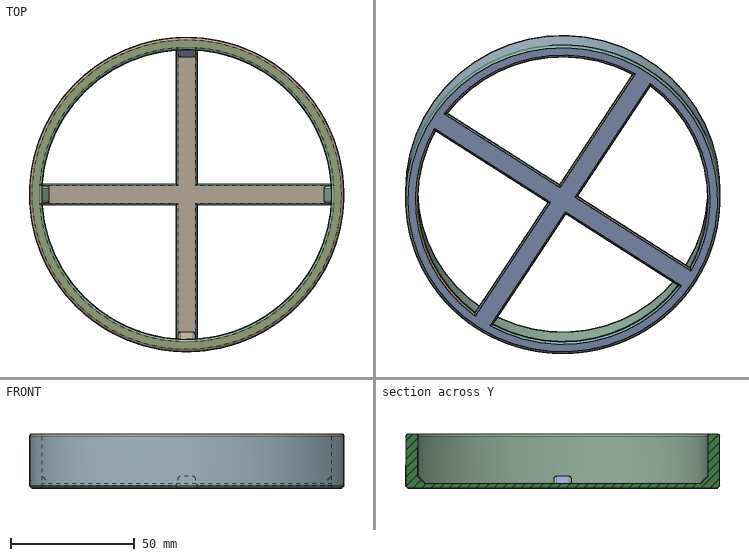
import cadquery as cq

outer_diameter = 127.0
inner_diameter = 117.0
ring_height = 22.0
ring_top_radius = 1.0
ring_bottom_chamfer = 1.0

spoke_width = 8.6
spoke_thickness = 2.0
spoke_top_radius = 0.7
spoke_bottom_chamfer = 0.7

blend_radius = 0.5

gusset_width = 7.0
gusset_run = 3.0
gusset_rise = 3.0
gusset_edge_radius = 1.0

inner_radius = inner_diameter / 2
wall = (outer_diameter - inner_diameter) / 2
embed_radius = inner_radius + wall / 2


def edges_at_height(body, height):
    """Select the horizontal edges lying at the given height."""
    tolerance = 0.01
    reach = outer_diameter
    thin_slab = cq.selectors.BoxSelector(
        (-reach, -reach, height - tolerance),
        (reach, reach, height + tolerance),
        boundingbox=True,
    )
    return body.edges(thin_slab)


def dress_edges(body, top_radius, bottom_chamfer):
    """Round the top edges, chamfer the bottom edges and blend the chamfers into the walls."""
    rounded = body.faces(">Z").edges().fillet(top_radius)
    chamfered = rounded.faces("<Z").edges().chamfer(bottom_chamfer)
    return edges_at_height(chamfered, bottom_chamfer).fillet(blend_radius)


def make_ring():
    """Plain ring with dressed rims."""
    ring = cq.Workplane("XY").circle(outer_diameter / 2).circle(inner_radius).extrude(ring_height)
    return dress_edges(ring, ring_top_radius, ring_bottom_chamfer)


def make_cross():
    """Two crossing bars with dressed edges."""
    length = 2 * embed_radius
    on_floor = (True, True, False)
    bar_x = cq.Workplane("XY").box(length, spoke_width, spoke_thickness, centered=on_floor)
    bar_y = cq.Workplane("XY").box(spoke_width, length, spoke_thickness, centered=on_floor)
    return dress_edges(bar_x.union(bar_y), spoke_top_radius, spoke_bottom_chamfer)


def make_gusset():
    """Wedge on the +X spoke, rising toward the wall, with rounded slope edges."""
    slope = gusset_rise / gusset_run
    toe = inner_radius - gusset_run
    foot_z = spoke_thickness / 2
    foot_x = toe - (spoke_thickness - foot_z) / slope
    top_z = spoke_thickness + (embed_radius - toe) * slope
    return (
        cq.Workplane("XZ")
        .moveTo(foot_x, foot_z)
        .lineTo(embed_radius, foot_z)
        .lineTo(embed_radius, top_z)
        .close()
        .extrude(gusset_width / 2, both=True)
        .edges("not (#Z or #X or |Y)")
        .fillet(gusset_edge_radius)
    )


result = make_ring().union(make_cross())
gusset = make_gusset()
for quarter in range(4):
    result = result.union(gusset.rotate((0, 0, 0), (0, 0, 1), 90 * quarter))